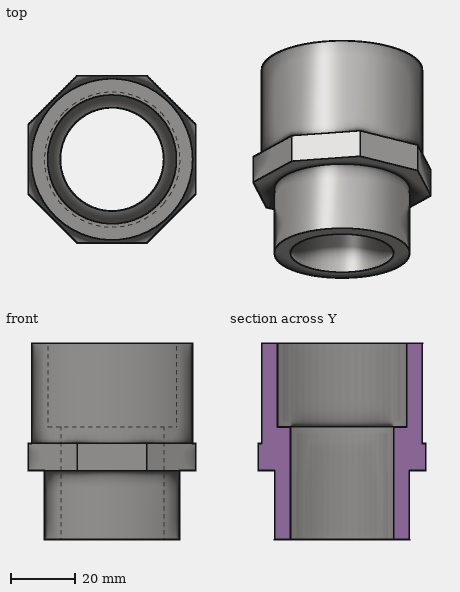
import cadquery as cq
import math

total_height = 61.0
spigot_length = 21.4
collar_height = 8.5
socket_depth = 26.0

spigot_diameter = 42.0
body_diameter = 50.0
socket_diameter = 40.0
bore_diameter = 32.0
collar_across_flats = 52.0
collar_sides = 8

collar_top = spigot_length + collar_height
body_length = total_height - collar_top
socket_floor = total_height - socket_depth


def cylinder(diameter, bottom, height):
    """Cylinder on the Z axis, standing on the given level."""
    return cq.Workplane("XY").workplane(offset=bottom).circle(diameter / 2).extrude(height)


def octagonal_collar():
    """Wrench collar with flats square to X and Y."""
    half_side_angle = 180.0 / collar_sides
    across_corners = collar_across_flats / math.cos(math.radians(half_side_angle))
    collar = (
        cq.Workplane("XY")
        .workplane(offset=spigot_length)
        .polygon(collar_sides, across_corners)
        .extrude(collar_height)
    )
    return collar.rotate((0, 0, 0), (0, 0, 1), half_side_angle)


spigot = cylinder(spigot_diameter, 0, spigot_length)
body = cylinder(body_diameter, collar_top, body_length)
adapter = spigot.union(octagonal_collar()).union(body)

bore = cylinder(bore_diameter, 0, total_height)
socket = cylinder(socket_diameter, socket_floor, socket_depth)

result = adapter.cut(bore).cut(socket)